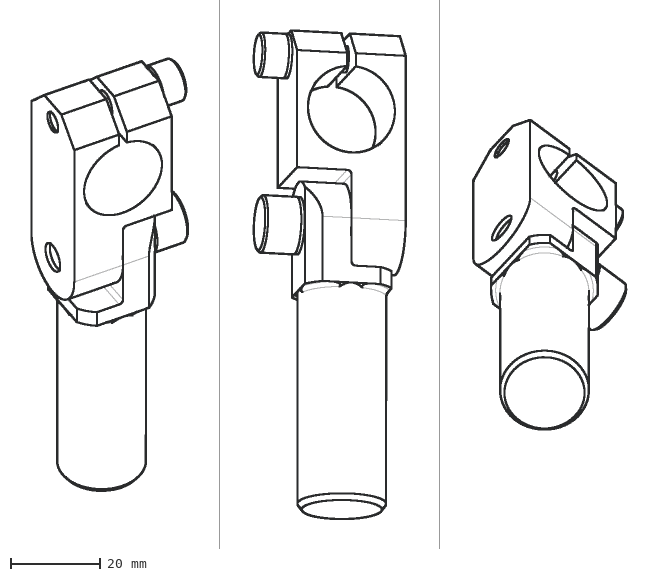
import cadquery as cq
import math

WIDTH = 20.0
HALF_WIDTH = WIDTH / 2
CLAMP_DEPTH = 25.0
AXIS_Y = CLAMP_DEPTH / 2
TOTAL_HEIGHT = 109.0
KNUCKLE_BACK = AXIS_Y + HALF_WIDTH
PIVOT_Z = 65.0
INNER_FILLET = 1.0

LEDGE_Z = 76.0
TOP_CHAMFER = 6.0
BORE_DIAMETER = 20.0
BORE_Z = 90.0
SLOT_WIDTH = 2.0

UNDERSIDE_Z = 50.0
FLOOR_Z = 54.0
CORNER_DIAMETER = 24.0
NECK_FILLET = 1.0
FLARE_TAPER = 20.0
END_CHAMFER_HEIGHT = 1.3
END_CHAMFER_INSET = 1.0

CLAMP_SHANK = 6.0
CLAMP_HEAD = 10.0
CLAMP_HEAD_LENGTH = 6.0
CLAMP_CLEARANCE = 6.4
CLAMP_MOUTH = 4.9
CLAMP_SCREW_Z = TOTAL_HEIGHT - CLAMP_HEAD / 2
PIVOT_SHANK = 8.0
PIVOT_HEAD = 13.0
PIVOT_HEAD_LENGTH = 8.2
PIVOT_CLEARANCE = 8.4
PIVOT_MOUTH = 6.8
CLAMP_TIP_RECESS = 0.7
PIVOT_TIP_RECESS = 1.1
HEAD_CHAMFER = 0.5
WASHER_THICKNESS = 0.8


def rod_y(diameter, start, end, z):
    """Cylinder along Y between two Y positions at height z."""
    plane = cq.Workplane("XZ", origin=(0, start, z))
    return plane.circle(diameter / 2).extrude(start - end)


def make_clamp():
    """Pivoting clamp: bored block with a tongue hanging over the pivot."""
    body = (
        cq.Workplane("YZ")
        .polyline([
            (0, PIVOT_Z - HALF_WIDTH), (AXIS_Y, PIVOT_Z - HALF_WIDTH), (AXIS_Y, LEDGE_Z),
            (CLAMP_DEPTH, LEDGE_Z), (CLAMP_DEPTH, TOTAL_HEIGHT), (0, TOTAL_HEIGHT),
        ])
        .close()
        .extrude(HALF_WIDTH, both=True)
    )
    inner_corner = cq.selectors.NearestToPointSelector((0, AXIS_Y, LEDGE_Z))
    body = body.edges(inner_corner).fillet(INNER_FILLET)
    outline = (
        cq.Workplane("XZ")
        .moveTo(-HALF_WIDTH, PIVOT_Z)
        .threePointArc((0, PIVOT_Z - HALF_WIDTH), (HALF_WIDTH, PIVOT_Z))
        .lineTo(HALF_WIDTH, TOTAL_HEIGHT - TOP_CHAMFER)
        .lineTo(HALF_WIDTH - TOP_CHAMFER, TOTAL_HEIGHT)
        .lineTo(TOP_CHAMFER - HALF_WIDTH, TOTAL_HEIGHT)
        .lineTo(-HALF_WIDTH, TOTAL_HEIGHT - TOP_CHAMFER)
        .close()
        .extrude(-CLAMP_DEPTH)
    )
    body = body.intersect(outline)

    bore = (
        cq.Workplane("YZ", origin=(0, AXIS_Y, BORE_Z))
        .circle(BORE_DIAMETER / 2)
        .extrude(HALF_WIDTH, both=True)
    )
    slot_height = TOTAL_HEIGHT - BORE_Z
    slot = cq.Workplane("XY").box(WIDTH, SLOT_WIDTH, slot_height, centered=(True, True, False))
    body = body.cut(bore).cut(slot.translate((0, AXIS_Y, BORE_Z)))

    body = body.cut(rod_y(CLAMP_MOUTH, 0, CLAMP_TIP_RECESS, CLAMP_SCREW_Z))
    body = body.cut(rod_y(CLAMP_SHANK, CLAMP_TIP_RECESS, AXIS_Y, CLAMP_SCREW_Z))
    body = body.cut(rod_y(CLAMP_CLEARANCE, AXIS_Y, CLAMP_DEPTH, CLAMP_SCREW_Z))
    body = body.cut(rod_y(PIVOT_MOUTH, 0, PIVOT_TIP_RECESS, PIVOT_Z))
    return body.cut(rod_y(PIVOT_SHANK, PIVOT_TIP_RECESS, AXIS_Y, PIVOT_Z))


def make_neck_flare():
    """Concave flare blending the rod into the four overhanging knuckle corners."""
    flare_bottom = UNDERSIDE_Z - NECK_FILLET
    flare_radius = HALF_WIDTH + NECK_FILLET
    arc_inset = NECK_FILLET * math.sqrt(0.5)
    flare = (
        cq.Workplane("XZ")
        .moveTo(0, flare_bottom)
        .lineTo(HALF_WIDTH, flare_bottom)
        .threePointArc(
            (flare_radius - arc_inset, flare_bottom + arc_inset), (flare_radius, UNDERSIDE_Z)
        )
        .lineTo(0, UNDERSIDE_Z)
        .close()
        .revolve(360, (0, 0, 0), (0, 1, 0))
        .translate((0, AXIS_Y, 0))
    )
    tapered_block = (
        cq.Workplane("XY", origin=(0, AXIS_Y, UNDERSIDE_Z))
        .rect(WIDTH, WIDTH)
        .extrude(-NECK_FILLET, taper=FLARE_TAPER)
    )
    return flare.intersect(tapered_block)


def make_shaft():
    """Round shaft carrying a square knuckle with turned corners."""
    knuckle_height = PIVOT_Z + HALF_WIDTH - UNDERSIDE_Z
    block = (
        cq.Workplane("XY", origin=(0, AXIS_Y, UNDERSIDE_Z))
        .rect(WIDTH, WIDTH)
        .extrude(knuckle_height)
    )
    turned = (
        cq.Workplane("XY", origin=(0, AXIS_Y, UNDERSIDE_Z))
        .circle(CORNER_DIAMETER / 2)
        .extrude(knuckle_height)
    )
    profile = (
        cq.Workplane("YZ")
        .polyline([
            (AXIS_Y - HALF_WIDTH, UNDERSIDE_Z), (KNUCKLE_BACK, UNDERSIDE_Z),
            (KNUCKLE_BACK, PIVOT_Z + HALF_WIDTH), (AXIS_Y, PIVOT_Z + HALF_WIDTH),
            (AXIS_Y, FLOOR_Z), (AXIS_Y - HALF_WIDTH, FLOOR_Z),
        ])
        .close()
        .extrude(HALF_WIDTH, both=True)
    )
    inner_corner = cq.selectors.NearestToPointSelector((0, AXIS_Y, FLOOR_Z))
    profile = profile.edges(inner_corner).fillet(INNER_FILLET)
    rounded_top = (
        rod_y(WIDTH, 0, CLAMP_DEPTH, PIVOT_Z)
        .union(cq.Workplane("XY").box(WIDTH, CLAMP_DEPTH, PIVOT_Z, centered=(True, False, False)))
    )
    knuckle = block.intersect(turned).intersect(profile).intersect(rounded_top)
    knuckle = knuckle.cut(rod_y(PIVOT_CLEARANCE, AXIS_Y, KNUCKLE_BACK, PIVOT_Z))

    rod = (
        cq.Workplane("XY", origin=(0, AXIS_Y, 0))
        .circle(HALF_WIDTH)
        .extrude(UNDERSIDE_Z)
        .faces("<Z")
        .chamfer(END_CHAMFER_HEIGHT, END_CHAMFER_INSET)
    )
    return knuckle.union(rod).union(make_neck_flare())


def make_screw(shank, head, head_length, tip_y, seat_y, z):
    """Cap screw along Y whose head rests on a washer on the seat."""
    head_y = seat_y + WASHER_THICKNESS
    cap = rod_y(head, head_y, head_y + head_length, z).faces(">Y").chamfer(HEAD_CHAMFER)
    return cap.union(rod_y(shank, tip_y, head_y, z))


def make_washer(inner, outer, seat_y, z):
    """Flat ring lying on the seat under a screw head."""
    back_y = seat_y + WASHER_THICKNESS
    return rod_y(outer, seat_y, back_y, z).cut(rod_y(inner, seat_y, back_y, z))


clamp = make_clamp()
shaft = make_shaft()
screws = []
washers = []
for shank, clearance, head, head_length, recess, seat, height in [
    (
        CLAMP_SHANK, CLAMP_CLEARANCE, CLAMP_HEAD, CLAMP_HEAD_LENGTH,
        CLAMP_TIP_RECESS, CLAMP_DEPTH, CLAMP_SCREW_Z,
    ),
    (
        PIVOT_SHANK, PIVOT_CLEARANCE, PIVOT_HEAD, PIVOT_HEAD_LENGTH,
        PIVOT_TIP_RECESS, KNUCKLE_BACK, PIVOT_Z,
    ),
]:
    screws.append(make_screw(shank, head, head_length, recess, seat, height).val())
    washers.append(make_washer(clearance, head, seat, height).val())

result = cq.Compound.makeCompound([clamp.val(), shaft.val(), *screws, *washers])